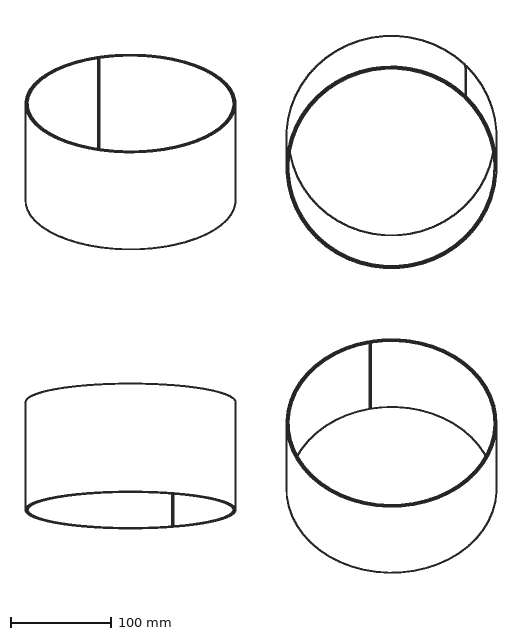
import cadquery as cq

outer_diameter = 210.0
wall = 2.5
height = 110.0
slit_width = 1.7
rim_chamfer = 0.5

outer_radius = outer_diameter / 2
inner_radius = outer_radius - wall

sleeve = (
    cq.Workplane("XY")
    .circle(outer_radius)
    .circle(inner_radius)
    .extrude(height)
    .edges("%CIRCLE")
    .chamfer(rim_chamfer)
)

slit_depth = 2 * wall
slit = (
    cq.Workplane("XY")
    .center(-(outer_radius - wall / 2), slit_width / 2)
    .rect(slit_depth, slit_width)
    .extrude(height)
)

result = sleeve.cut(slit)